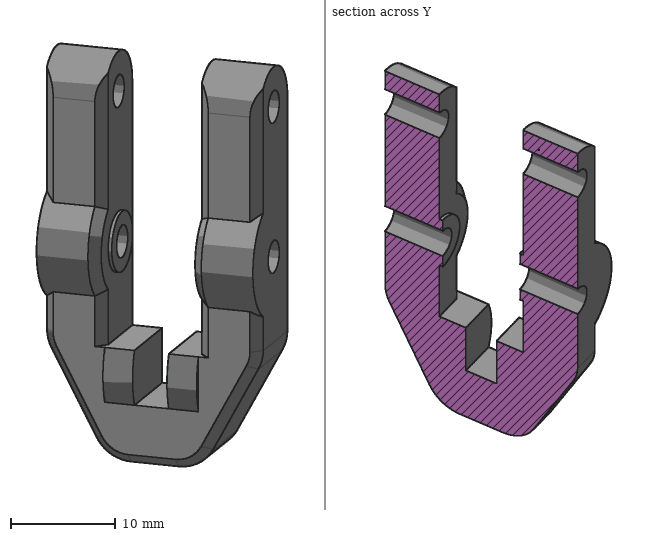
import cadquery as cq

width = 22.0
height = 40.0
thickness = 8.0
chamfer = 1.0
slot_width = 9.5
slot_floor = 11.5
notch_width = 3.5
notch_floor = 6.0
tooth_bulge = 0.5
base_width = 9.6
shoulder_height = 11.5
corner_radius = 4.0
hole_diameter = 3.2
boss_radius = 6.0
boss_height = 21.0
pad_diameter = 6.0
pad_thickness = 0.35

half_width = width / 2
half_slot = slot_width / 2
half_base = base_width / 2
front = -thickness / 2
back = thickness / 2
tip_radius = thickness / 2
tip_height = height - tip_radius


def tapered_plate():
    """Plate with a tapered foot, bevelled in front and rounded at the top."""
    outline = [
        (-half_base, 0),
        (half_base, 0),
        (half_width, shoulder_height),
        (half_width, height + chamfer),
        (-half_width, height + chamfer),
        (-half_width, shoulder_height),
    ]
    plate = cq.Workplane("XZ", origin=(0, back, 0)).polyline(outline).close().extrude(thickness)
    lower_corners = cq.selectors.BoxSelector(
        (-width, -thickness, -0.4), (width, thickness, height / 2)
    )
    plate = plate.edges("|Y").edges(lower_corners).fillet(corner_radius)
    plate = plate.faces("<Y").edges().chamfer(chamfer)
    side_profile = (
        cq.Workplane("YZ", origin=(-half_width, 0, 0))
        .moveTo(front, 0)
        .lineTo(front, tip_height)
        .threePointArc((0, height), (back, tip_height))
        .lineTo(back, 0)
        .close()
        .extrude(width)
    )
    return plate.intersect(side_profile)


def arm_gap():
    """Gap between the arms, flared by the bevel at the front."""
    section = [
        (-half_slot, back),
        (-half_slot, front + chamfer),
        (-half_slot - chamfer, front),
        (half_slot + chamfer, front),
        (half_slot, front + chamfer),
        (half_slot, back),
    ]
    gap_height = height - slot_floor
    return cq.Workplane("XY", origin=(0, 0, slot_floor)).polyline(section).close().extrude(gap_height)


def tooth_fronts():
    """Shallow rounded fronts of the teeth, as one strip across the gap."""
    middle = (notch_floor + slot_floor) / 2
    return (
        cq.Workplane("YZ", origin=(-half_slot, 0, 0))
        .moveTo(front, notch_floor)
        .threePointArc((front - tooth_bulge, middle), (front, slot_floor))
        .lineTo(0, slot_floor)
        .lineTo(0, notch_floor)
        .close()
        .extrude(slot_width)
    )


def notch():
    """Opening between the teeth, through the full depth."""
    depth = thickness + 2 * tooth_bulge
    return cq.Workplane("XY", origin=(0, 0, notch_floor)).rect(notch_width, depth).extrude(
        slot_floor - notch_floor
    )


def boss():
    """Left hinge boss with a bevelled inner rim, kept flush with the back."""
    disc = (
        cq.Workplane("YZ", origin=(-half_width, 0, boss_height))
        .circle(boss_radius)
        .extrude(half_width - half_slot)
        .faces(">X")
        .edges()
        .chamfer(chamfer)
    )
    front_half = cq.Workplane("XY").box(
        width, boss_radius, height, centered=(True, False, False)
    ).translate((0, -boss_radius, 0))
    return disc.intersect(front_half)


def pad():
    """Thin round spacer on the inner face of the left arm."""
    return (
        cq.Workplane("YZ", origin=(-half_slot, 0, boss_height))
        .circle(pad_diameter / 2)
        .extrude(pad_thickness)
    )


def cross_hole(hole_height):
    """Hole along X through both arms."""
    return (
        cq.Workplane("YZ", origin=(-half_width, 0, hole_height))
        .circle(hole_diameter / 2)
        .extrude(width)
    )


result = tapered_plate().cut(arm_gap()).union(tooth_fronts()).cut(notch())
for feature in (boss(), pad()):
    result = result.union(feature).union(feature.mirror("YZ"))
for axis_height in (boss_height, tip_height):
    result = result.cut(cross_hole(axis_height))